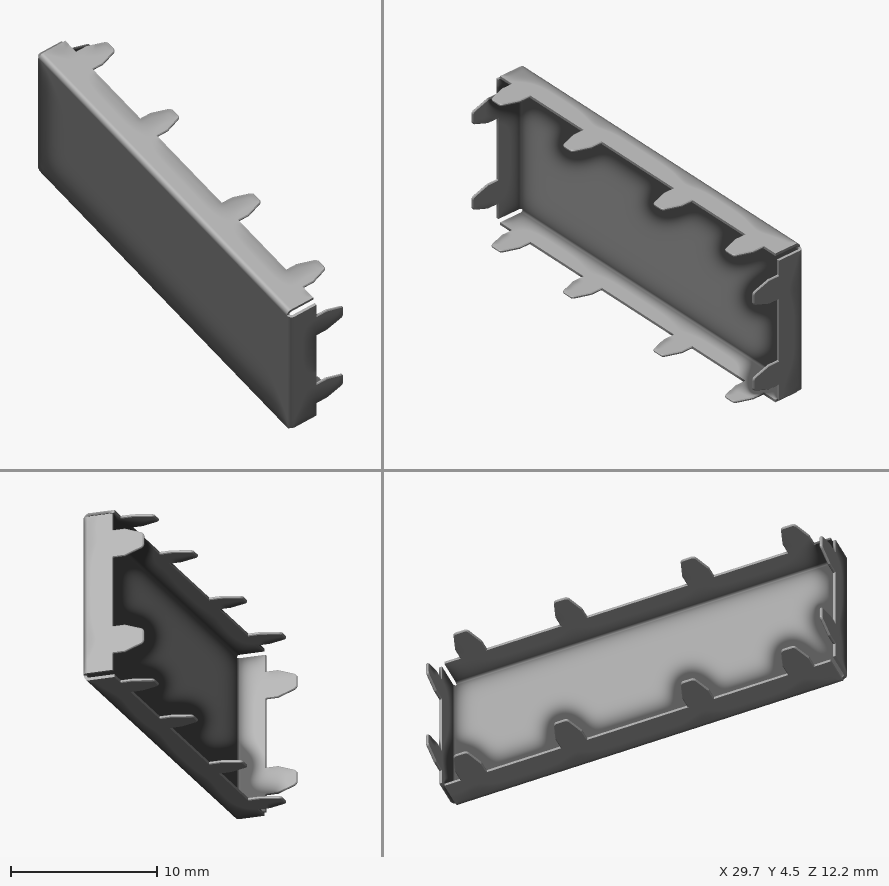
import cadquery as cq

length = 29.7
depth = 4.5
height = 12.2

thickness = 0.2
inner_bend_radius = 0.18
outer_bend_radius = inner_bend_radius + thickness

panel_length = length - 2 * outer_bend_radius
panel_height = height - 2 * outer_bend_radius

flange_depth = 2.23
tab_width = 2.0
tab_shoulder = 0.9
tab_tip_width = 1.0
tab_tip_radius = 0.3
tab_edge_chamfer = 0.05
long_side_tabs = (-12.27, -4.75, 4.75, 12.27)
short_side_tabs = (-3.5, 3.5)


def make_bend(span, reach):
    """Quarter-round bend along X, joining the panel to a flange at Z = reach."""
    start = reach - outer_bend_radius
    bend_center = (outer_bend_radius, start)
    outer = cq.Workplane("YZ").center(*bend_center).circle(outer_bend_radius).extrude(span / 2, both=True)
    inner = cq.Workplane("YZ").center(*bend_center).circle(inner_bend_radius).extrude(span / 2, both=True)
    quadrant = cq.Workplane("XY").box(
        span, outer_bend_radius, outer_bend_radius, centered=(True, False, False)
    ).translate((0, 0, start))
    return outer.cut(inner).intersect(quadrant)


def make_tab(center):
    """Tapered tab with a rounded tip, rooted on the free edge of a flange at Z = 0."""
    half_width = tab_width / 2
    half_tip = tab_tip_width / 2
    shoulder_y = flange_depth + tab_shoulder
    tab = (
        cq.Workplane("XY")
        .polyline([
            (-half_width, flange_depth),
            (-half_width, shoulder_y),
            (-half_tip, depth),
            (half_tip, depth),
            (half_width, shoulder_y),
            (half_width, flange_depth),
        ])
        .close()
        .extrude(thickness)
    )
    tab = tab.edges("|Z and >Y").fillet(tab_tip_radius)
    tab = tab.faces("<Z or >Z").edges("not <Y").chamfer(tab_edge_chamfer)
    return tab.translate((center, 0, 0))


def make_side(span, reach, tab_centers):
    """Bend, flange and tabs for one side, with the outer flange face at Z = reach."""
    plate = cq.Workplane("XY").box(
        span, flange_depth - outer_bend_radius, thickness, centered=(True, False, False)
    ).translate((0, outer_bend_radius, 0))
    for center in tab_centers:
        plate = plate.union(make_tab(center))
    return plate.translate((0, 0, reach - thickness)).union(make_bend(span, reach))


result = cq.Workplane("XY").box(panel_length, thickness, panel_height, centered=(True, False, True))

long_side = make_side(panel_length, height / 2, long_side_tabs)
short_side = make_side(panel_height, length / 2, short_side_tabs)
for side, first_turn in ((long_side, 0), (short_side, 90)):
    for turn in (first_turn, first_turn + 180):
        result = result.union(side.rotate((0, 0, 0), (0, 1, 0), turn))